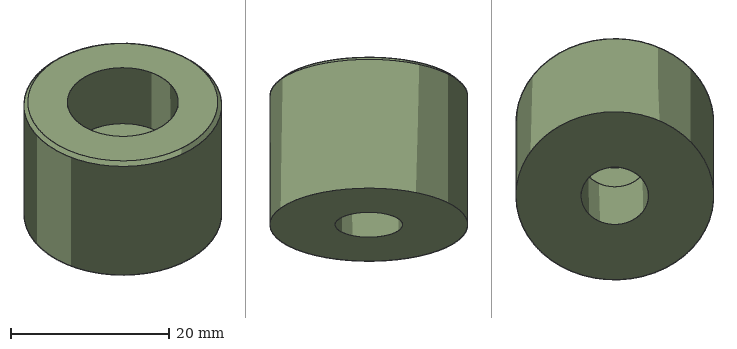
import cadquery as cq

outer_diameter = 25.0
height = 18.0
bore_diameter = 8.5
counterbore_diameter = 14.0
counterbore_depth = 9.0
rim_chamfer = 0.5

body = (
    cq.Workplane("XY")
    .circle(outer_diameter / 2)
    .extrude(height)
    .faces(">Z")
    .edges()
    .chamfer(rim_chamfer)
)

result = (
    body.faces(">Z")
    .workplane()
    .cboreHole(bore_diameter, counterbore_diameter, counterbore_depth)
)